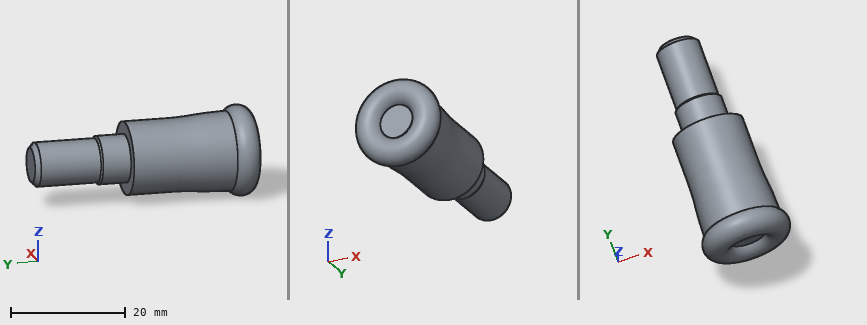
import cadquery as cq
import math

length = 40.0
tip_chamfer = 0.9
shank_end = 28.3
neck_end = 28.0
shoulder = 23.0
flare_back = 15.0
flare_front = 4.8

shank_radius = 3.9
neck_radius = 4.3
body_radius = 6.5
collar_radius = 7.05
head_radius = 8.0

bead_radius = 2.5
floor_depth = 1.8
ring_radius = head_radius - bead_radius
bead_center = bead_radius
floor_radius = ring_radius - math.sqrt(bead_radius**2 - (bead_center - floor_depth)**2)
collar_front = bead_center + math.sqrt(bead_radius**2 - (collar_radius - ring_radius)**2)

flare_middle = (flare_back + flare_front) / 2
flare_middle_radius = (body_radius + collar_radius) / 2


def head_and_flare(profile):
    """Add the recess floor, bead, collar and flare to the half profile."""
    return (
        profile
        .lineTo(floor_radius, floor_depth)
        .threePointArc((head_radius, bead_center), (collar_radius, collar_front))
        .lineTo(collar_radius, flare_front)
        .tangentArcPoint((flare_middle_radius, flare_middle), relative=False)
        .tangentArcPoint((body_radius, flare_back), relative=False)
    )


def body_and_shank(profile):
    """Add the body, neck, short conical step and chamfered shank."""
    return (
        profile
        .lineTo(body_radius, shoulder)
        .lineTo(neck_radius, shoulder)
        .lineTo(neck_radius, neck_end)
        .lineTo(shank_radius, shank_end)
        .lineTo(shank_radius, length - tip_chamfer)
        .lineTo(shank_radius - tip_chamfer, length)
        .lineTo(0, length)
    )


half_profile = cq.Workplane("XY").moveTo(0, floor_depth)
half_profile = body_and_shank(head_and_flare(half_profile)).close()

result = half_profile.revolve(360, (0, 0, 0), (0, 1, 0))